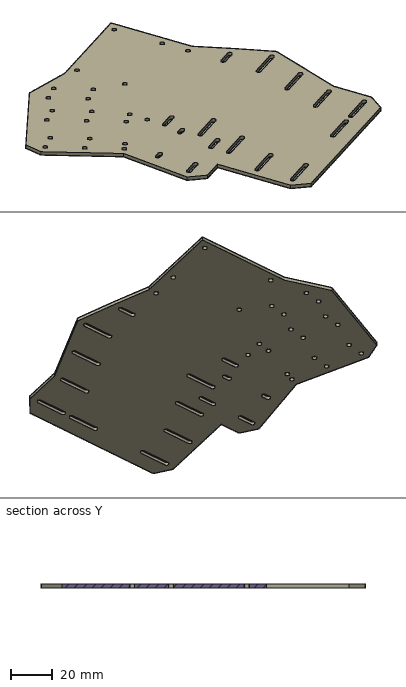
import cadquery as cq
import math

length = 155.53
depth = 128.04
thickness = 2.0

hole_diameter = 2.2
upright = 90
edge_margin = 4.85
corner_run = 8.0
corner_rise = 5.9

pitch = 19.0
half_pitch = pitch / 2
side_margin = 9.4
stagger = 7.0
key_span = 23.2
column_span = key_span + 2 * pitch
last_column = 5


def column_x(index):
    return length - side_margin - (last_column - index) * pitch


upper_row_y = depth - edge_margin - 2 * stagger
lower_row_y = upper_row_y - column_span
column_slots = {
    1: (0, stagger),
    2: (0, 2 * stagger),
    3: (-stagger, stagger),
    4: (-2 * stagger, 0),
    5: (-2 * stagger, 0),
}

bottom_row_y = 47.75
bottom_row_drops = (0, 2.5, stagger)

board_hole_x = 11.4
board_hole_y = 70.1
board_width = 25.8
board_height = 39.0
board_margin_left = 4.0
board_margin_top = 4.4

thumb_tilt = math.radians(25)
thumb_anchor = (25.85, 59.0)
thumb_shift = (1.42, -8.22)
thumb_rows = (0, pitch, pitch + key_span)

thumb_tip_y = 42.2
thumb_tail = (28.0, 0.0)
thumb_tail_left_x = 18.8
thumb_notch = (63.9, 16.75)
left_edge_bottom_y = 65.0


def tilted_point(origin, across, down):
    x = origin[0] + across * math.cos(thumb_tilt) + down * math.sin(thumb_tilt)
    y = origin[1] + across * math.sin(thumb_tilt) - down * math.cos(thumb_tilt)
    return (x, y)


def outline_points():
    left_x = board_hole_x - board_margin_left
    left_top_y = board_hole_y + board_height + board_margin_top
    right_top_y = depth - 2 * stagger
    right_bottom_y = lower_row_y - 2 * stagger - edge_margin
    step_x = column_x(3)
    step_bottom_y = bottom_row_y - stagger - key_span - edge_margin
    tail_left_y = thumb_tip_y - thumb_tail_left_x / math.tan(thumb_tilt)
    return [
        (left_x, left_top_y),
        (left_x, left_edge_bottom_y),
        (0, thumb_tip_y),
        (thumb_tail_left_x, tail_left_y),
        thumb_tail,
        thumb_notch,
        (step_x - corner_run, step_bottom_y),
        (step_x, step_bottom_y + corner_rise),
        (step_x, right_bottom_y),
        (length - corner_run, right_bottom_y),
        (length, right_bottom_y + corner_rise),
        (length, right_top_y - corner_rise),
        (length - corner_run, right_top_y),
        (column_x(4), right_top_y),
        (column_x(2), depth),
        (column_x(1), depth - stagger),
        (column_x(0), left_top_y),
    ]


def cut_holes(plate, points):
    holes = cq.Workplane("XY").pushPoints(points).circle(hole_diameter / 2).extrude(thickness)
    return plate.cut(holes)


def cut_slot(plate, x, low_y, high_y):
    slot = (
        cq.Workplane("XY")
        .center(x, (low_y + high_y) / 2)
        .slot2D(high_y - low_y + hole_diameter, hole_diameter, upright)
        .extrude(thickness)
    )
    return plate.cut(slot)


def cut_finger_columns(plate):
    first_x = column_x(0)
    plate = cut_holes(plate, [(first_x, lower_row_y), (first_x, upper_row_y)])
    for index, (low, high) in column_slots.items():
        for row_y in (lower_row_y, upper_row_y):
            plate = cut_slot(plate, column_x(index), row_y + low, row_y + high)
    low, high = column_slots[last_column]
    extra_row_y = upper_row_y - pitch
    return cut_slot(plate, column_x(last_column), extra_row_y + low, extra_row_y + high)


def cut_bottom_row(plate):
    for index, drop in enumerate(bottom_row_drops):
        x = column_x(index) + half_pitch
        for y in (bottom_row_y, bottom_row_y - key_span):
            if drop == 0:
                plate = cut_holes(plate, [(x, y)])
            else:
                plate = cut_slot(plate, x, y - drop, y)
    return plate


def cut_board_holes(plate):
    points = [
        (board_hole_x + dx, board_hole_y + dy)
        for dx in (0, board_width)
        for dy in (0, board_height)
    ]
    return cut_holes(plate, points)


def cut_thumb_cluster(plate):
    shifted_anchor = (thumb_anchor[0] + thumb_shift[0], thumb_anchor[1] + thumb_shift[1])
    points = [
        tilted_point(anchor, across, down)
        for anchor in (thumb_anchor, shifted_anchor)
        for across in (-pitch, 0)
        for down in thumb_rows
    ]
    points += [tilted_point(shifted_anchor, pitch, down) for down in thumb_rows[1:]]
    return cut_holes(plate, points)


result = cq.Workplane("XY").polyline(outline_points()).close().extrude(thickness)
result = cut_finger_columns(result)
result = cut_bottom_row(result)
result = cut_board_holes(result)
result = cut_thumb_cluster(result)